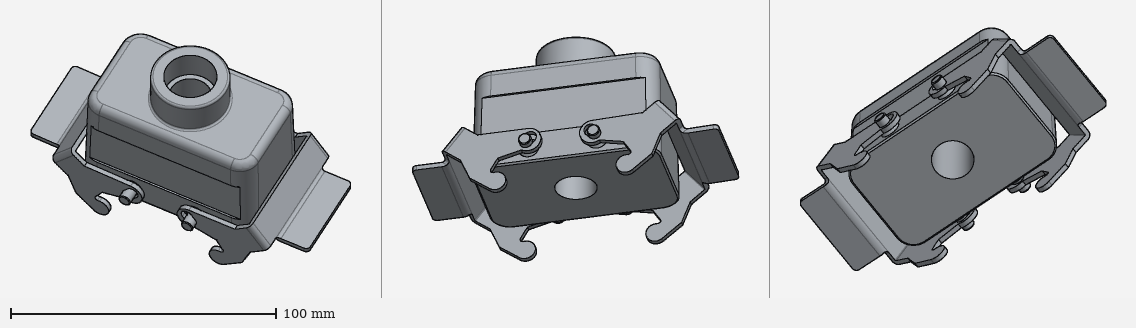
import cadquery as cq
import math


HOOD_LENGTH = 73.0
HOOD_WIDTH = 43.5
HOOD_HEIGHT = 44.8
HOOD_DRAFT = 1.2
CORNER_RADIUS = 7.7
TOP_EDGE_RADIUS = 3.3
BOTTOM_CHAMFER = 0.7

RECESS_BOTTOM = 12.9
RECESS_TOP = 32.1
RECESS_DEPTH = 0.8

ENTRY_DIAMETER = 30.0
ENTRY_TOP = 58.5
ENTRY_TOP_ROUND = 1.0
ENTRY_ROOT_RADIUS = 0.8
BORE_DIAMETER = 20.0
BORE_DEPTH = 12.0
CABLE_HOLE_DIAMETER = 16.0

PIN_X = 13.3
PIN_Z = 6.2
PIN_DIAMETER = 4.9
PIN_RADIUS = PIN_DIAMETER / 2
PIN_HALF_SPAN = 28.6
PIN_TIP_CHAMFER = 0.4
PIN_ROOT_RADIUS = 4.2
PIN_START_Y = 19.0
PIN_ROOT_Y = 21.5
PIN_ROOT_END_Y = 23.1

SHEET = 2.0
LEVER_WIDTH = 51.2
BEND_RADIUS = 2.3
BEND_INNER_RADIUS = BEND_RADIUS - SHEET
PLATE_ANGLE = 52.0
PLATE_LENGTH = 12.2
PLATE_TOP = (25.4, 11.1)
LOWER_EDGE_LENGTH = 9.5
SLOT_TRAVEL = 2.6
EYE_RADIUS = 5.0
ELBOW = (21.8, -12.9)
HOOK_CENTER = (11.7, -15.7)
HOOK_RADIUS = 3.9
NOTCH_CORNER = (14.6, -11.7)
NOTCH_RADIUS = 1.1
ARM_UNDERSIDE = (10.9, -5.6)
EYE_UNDERSIDE_U = 1.8
LEFT_LEVER_TILT = 1.8
LEVER_SIDE_SHIFT = 0.4

FLANGE_END = 46.0
FLANGE_WIDTH = 36.0
FLANGE_BEND_RADIUS = 1.9
FLANGE_CORNER_RADIUS = 1.8
FLANGE_ROOT_RADIUS = 1.4

ALONG = (math.cos(math.radians(PLATE_ANGLE)), -math.sin(math.radians(PLATE_ANGLE)))
OUTWARD = (-ALONG[1], ALONG[0])


def step(point, direction, distance):
    """The point reached from `point` by going `distance` along a unit direction."""
    return (point[0] + direction[0] * distance, point[1] + direction[1] * distance)


def make_shell():
    shell = cq.Workplane("XY").rect(HOOD_LENGTH, HOOD_WIDTH).extrude(HOOD_HEIGHT, taper=HOOD_DRAFT)
    shell = shell.edges("not(#Z)").edges("not(|X or |Y)").fillet(CORNER_RADIUS)
    shell = shell.faces(">Z").edges().fillet(TOP_EDGE_RADIUS)
    return shell.faces("<Z").edges().chamfer(BOTTOM_CHAMFER)


def cut_side_recesses(hood):
    slope = math.tan(math.radians(HOOD_DRAFT))
    outside = HOOD_WIDTH
    floor_bottom = HOOD_WIDTH / 2 - RECESS_DEPTH - slope * RECESS_BOTTOM
    floor_top = HOOD_WIDTH / 2 - RECESS_DEPTH - slope * RECESS_TOP
    section = [
        (floor_bottom, RECESS_BOTTOM),
        (outside, RECESS_BOTTOM),
        (outside, RECESS_TOP),
        (floor_top, RECESS_TOP),
    ]
    cutter = cq.Workplane("YZ").polyline(section).close().extrude(HOOD_LENGTH / 2, both=True)
    return hood.cut(cutter).cut(cutter.mirror("XZ"))


def add_cable_entry(hood):
    radius = ENTRY_DIAMETER / 2
    root = HOOD_HEIGHT + ENTRY_ROOT_RADIUS
    root_arc_inset = ENTRY_ROOT_RADIUS * (1 - math.sqrt(0.5))
    entry = (
        cq.Workplane("XZ")
        .moveTo(0, HOOD_HEIGHT - TOP_EDGE_RADIUS)
        .lineTo(radius + ENTRY_ROOT_RADIUS, HOOD_HEIGHT - TOP_EDGE_RADIUS)
        .lineTo(radius + ENTRY_ROOT_RADIUS, HOOD_HEIGHT)
        .threePointArc((radius + root_arc_inset, HOOD_HEIGHT + root_arc_inset), (radius, root))
        .lineTo(radius, ENTRY_TOP)
        .lineTo(0, ENTRY_TOP)
        .close()
        .revolve(360, (0, 0), (0, 1))
        .faces(">Z")
        .edges()
        .fillet(ENTRY_TOP_ROUND)
    )
    cable_hole = cq.Workplane("XY").circle(CABLE_HOLE_DIAMETER / 2).extrude(ENTRY_TOP)
    bore = cq.Workplane("XY", origin=(0, 0, ENTRY_TOP)).circle(BORE_DIAMETER / 2).extrude(-BORE_DEPTH)
    return hood.union(entry).cut(cable_hole).cut(bore)


def make_pin():
    """One pivot pin with a conical root, along -Y, starting inside the hood wall."""
    tip_y = PIN_HALF_SPAN - PIN_TIP_CHAMFER
    profile = [
        (0, -PIN_START_Y),
        (PIN_ROOT_RADIUS, -PIN_START_Y),
        (PIN_ROOT_RADIUS, -PIN_ROOT_Y),
        (PIN_RADIUS, -PIN_ROOT_END_Y),
        (PIN_RADIUS, -tip_y),
        (PIN_RADIUS - PIN_TIP_CHAMFER, -PIN_HALF_SPAN),
        (0, -PIN_HALF_SPAN),
    ]
    return cq.Workplane("XY").polyline(profile).close().revolve(360, (0, 0), (0, 1))


def add_pins(hood):
    pin = make_pin()
    for x in (-PIN_X, PIN_X):
        front_pin = pin.translate((x, 0, PIN_Z))
        hood = hood.union(front_pin).union(front_pin.mirror("XZ"))
    return hood


def lever_blank(plate_bottom, eye):
    """Lever outline as a full-width block with its two outer bends rounded."""
    knee_drop = (eye[1] + EYE_RADIUS - PLATE_TOP[1]) / OUTWARD[1]
    knee_top = step(PLATE_TOP, OUTWARD, knee_drop)
    knee_bottom = step(plate_bottom, OUTWARD, -LOWER_EDGE_LENGTH)

    du = HOOK_CENTER[0] - ELBOW[0]
    dv = HOOK_CENTER[1] - ELBOW[1]
    tangent = math.atan2(-dv, -du) - math.acos(HOOK_RADIUS / math.hypot(du, dv))
    hook_start = step(HOOK_CENTER, (math.cos(tangent), math.sin(tangent)), HOOK_RADIUS)
    hook_tip = (HOOK_CENTER[0] - HOOK_RADIUS, HOOK_CENTER[1])
    hook_end = (HOOK_CENTER[0], HOOK_CENTER[1] + HOOK_RADIUS)

    eye_drop = -math.sqrt(EYE_RADIUS**2 - (EYE_UNDERSIDE_U - eye[0]) ** 2)
    blank = (
        cq.Workplane("XZ")
        .moveTo(*knee_top)
        .lineTo(*PLATE_TOP)
        .lineTo(*plate_bottom)
        .lineTo(*knee_bottom)
        .lineTo(*ELBOW)
        .lineTo(*hook_start)
        .threePointArc(hook_tip, hook_end)
        .lineTo(*NOTCH_CORNER)
        .lineTo(*ARM_UNDERSIDE)
        .lineTo(EYE_UNDERSIDE_U, eye[1] + eye_drop)
        .threePointArc((eye[0] - EYE_RADIUS, eye[1]), (eye[0], eye[1] + EYE_RADIUS))
        .close()
        .extrude(LEVER_WIDTH / 2, both=True)
    )
    notch = cq.selectors.NearestToPointSelector((NOTCH_CORNER[0], 0, NOTCH_CORNER[1]))
    blank = blank.edges("|Y").edges(notch).fillet(NOTCH_RADIUS)
    plate_face = cq.selectors.DirectionMinMaxSelector(cq.Vector(OUTWARD[0], 0, OUTWARD[1]), True)
    return blank.faces(plate_face).edges("not(|Y)").fillet(BEND_RADIUS)


def lever_inside(plate_bottom):
    """The space between the two arms, behind the sloping plate."""
    reach = 2 * FLANGE_END
    inner_bottom = step(plate_bottom, OUTWARD, -SHEET)
    low = step(inner_bottom, ALONG, reach)
    high = step(inner_bottom, ALONG, -reach)
    corners = [low, high, step(high, OUTWARD, -reach), step(low, OUTWARD, -reach)]
    inside = cq.Workplane("XZ").polyline(corners).close().extrude(LEVER_WIDTH / 2 - SHEET, both=True)
    inner_face = cq.selectors.DirectionMinMaxSelector(cq.Vector(OUTWARD[0], 0, OUTWARD[1]), True)
    return inside.faces(inner_face).edges("not(|Y)").fillet(BEND_INNER_RADIUS)


def finger_flange(plate_bottom):
    """Flat flange bent outward from the lower edge of the sloping plate."""
    inner_bottom = step(plate_bottom, OUTWARD, -SHEET)
    bend_center = step(plate_bottom, OUTWARD, FLANGE_BEND_RADIUS)
    outer_radius = FLANGE_BEND_RADIUS + SHEET
    flange_top = bend_center[1] - FLANGE_BEND_RADIUS
    flange_bottom = bend_center[1] - outer_radius
    mid_angle = math.radians(270 - PLATE_ANGLE / 2)
    bend_middle = (math.cos(mid_angle), math.sin(mid_angle))
    strip = (
        cq.Workplane("XZ")
        .moveTo(*inner_bottom)
        .threePointArc(step(bend_center, bend_middle, outer_radius), (bend_center[0], flange_bottom))
        .lineTo(FLANGE_END, flange_bottom)
        .lineTo(FLANGE_END, flange_top)
        .lineTo(bend_center[0], flange_top)
        .threePointArc(step(bend_center, bend_middle, FLANGE_BEND_RADIUS), plate_bottom)
        .close()
        .extrude(FLANGE_WIDTH / 2 + FLANGE_ROOT_RADIUS, both=True)
    )

    half_width = FLANGE_WIDTH / 2
    root_half_width = half_width + FLANGE_ROOT_RADIUS
    plate_plane = cq.Plane(
        origin=(plate_bottom[0], 0, plate_bottom[1]),
        xDir=(ALONG[0], 0, ALONG[1]),
        normal=(OUTWARD[0], 0, OUTWARD[1]),
    )
    width_outline = (
        cq.Workplane(plate_plane)
        .moveTo(0, -root_half_width)
        .radiusArc((FLANGE_ROOT_RADIUS, -half_width), FLANGE_ROOT_RADIUS)
        .lineTo(FLANGE_END, -half_width)
        .lineTo(FLANGE_END, half_width)
        .lineTo(FLANGE_ROOT_RADIUS, half_width)
        .radiusArc((0, root_half_width), FLANGE_ROOT_RADIUS)
        .close()
        .extrude(FLANGE_END, both=True)
    )
    return strip.intersect(width_outline).edges("|Z and >X").fillet(FLANGE_CORNER_RADIUS)


def make_lever():
    """One locking lever with the pin axis at the origin, reaching toward +X."""
    plate_bottom = step(PLATE_TOP, ALONG, PLATE_LENGTH)
    eye = step((0, 0), ALONG, -SLOT_TRAVEL / 2)
    slot = (
        cq.Workplane("XZ")
        .center(*eye)
        .transformed(rotate=(0, 0, -PLATE_ANGLE))
        .slot2D(SLOT_TRAVEL + PIN_DIAMETER, PIN_DIAMETER)
        .extrude(LEVER_WIDTH, both=True)
    )
    lever = lever_blank(plate_bottom, eye).cut(lever_inside(plate_bottom))
    return lever.union(finger_flange(plate_bottom)).cut(slot)


def make_hood():
    return add_pins(add_cable_entry(cut_side_recesses(make_shell())))


hood = make_hood()

levers = []
for turn, tilt in ((0, 0), (180, LEFT_LEVER_TILT)):
    lever = make_lever().rotate((0, 0, 0), (0, 1, 0), -tilt)
    lever = lever.translate((PIN_X, 0, PIN_Z)).rotate((0, 0, 0), (0, 0, 1), turn)
    lever = lever.translate((0, LEVER_SIDE_SHIFT, 0))
    levers.append(lever)

result = cq.Compound.makeCompound([hood.val(), *[lever.val() for lever in levers]])